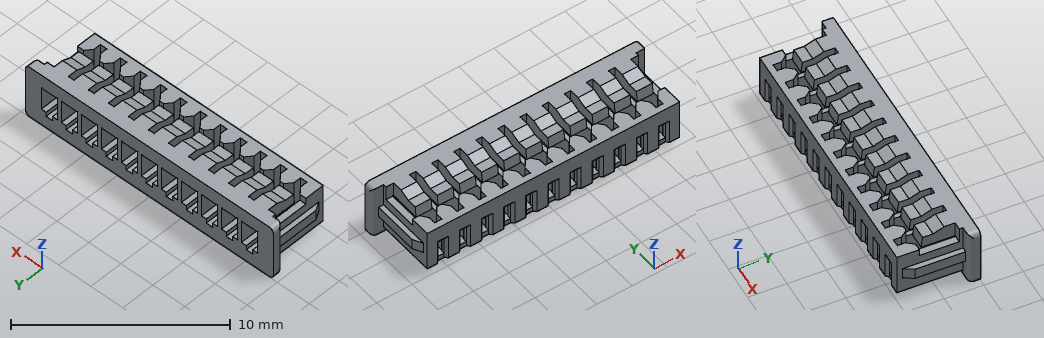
import cadquery as cq


length = 15.5
depth = 3.95
height = 3.2

contact_count = 11
row_span = 12.5
pitch = row_span / (contact_count - 1)
contact_places = [i * pitch - row_span / 2 for i in range(contact_count)]

flange_thickness = 0.6
flange_front = depth - flange_thickness
flange_round = 0.3

body_width = 14.26
body_bottom = 0.46
front_wall_top = 2.75

recess_floor = 2.37
recess_front = 1.15
recess_back = 3.16

block_width = 0.9
block_base_front = 1.44
block_top_front = 1.52
block_step_height = 2.98
block_slope_front = 2.05
block_slope_back = 2.6

rib_width = 0.25
cavity_width = pitch - rib_width
cavity_floor = 1.0
groove_width = 0.4
groove_front = 0.35
taper_front = 0.78

window_width = 0.35
window_top = 1.7
window_sill = 0.75
window_flare = 0.14

rail_width = 0.28
rail_bottom = 1.3
rail_top = 1.89
rail_front = 0.28
rail_bevel_back = 0.79

bump_width = 0.95
bump_bottom = 0.23
bump_front = 0.34
bump_tip_front = 0.95
bump_tip_back = 1.15
bump_back = 1.45
bump_place = row_span / 2 - pitch / 2


def block_between(x_range, y_range, z_range):
    """Rectangular block from its limits along each axis."""
    size = [high - low for low, high in (x_range, y_range, z_range)]
    corner = (x_range[0], y_range[0], z_range[0])
    return cq.Workplane("XY").box(*size, centered=False).translate(corner)


def side_profile(points, width, x_center):
    """Prism of the given (y, z) outline, centred on x_center along X."""
    prism = cq.Workplane("YZ").polyline(points).close().extrude(width / 2, both=True)
    return prism.translate((x_center, 0, 0))


def make_flange():
    """Plate with rounded corners and with its front edges rounded except along the top."""
    half = length / 2
    plate = block_between((-half, half), (flange_front, depth), (0, height))
    plate = plate.edges("|Y and <Z").fillet(flange_round)
    plate = plate.faces("<Y").edges("not >Z").fillet(flange_round)
    top_corners = block_between((-half, half), (flange_front, depth), (0, height))
    top_corners = top_corners.edges("|Y and >Z").fillet(flange_round)
    return plate.intersect(top_corners)


def make_body():
    """Body with a low front wall, a recessed top and a full-height strip at the flange."""
    outline = [
        (0, body_bottom),
        (flange_front, body_bottom),
        (flange_front, height),
        (recess_back, height),
        (recess_back, recess_floor),
        (recess_front, recess_floor),
        (recess_front, front_wall_top),
        (0, front_wall_top),
    ]
    return side_profile(outline, body_width, 0)


def make_latch_block(x):
    """Stepped block reaching forward from the flange, with its front leaning back."""
    outline = [
        (block_base_front, recess_floor),
        (block_top_front, block_step_height),
        (block_slope_front, block_step_height),
        (block_slope_back, height),
        (flange_front, height),
        (flange_front, recess_floor),
    ]
    return side_profile(outline, block_width, x)


def make_rail(side):
    """Guide rail on one end, bevelled at its front."""
    root = side * body_width / 2
    outer = root + side * rail_width
    outline = [(root, rail_front), (outer, rail_bevel_back), (outer, flange_front), (root, flange_front)]
    return (
        cq.Workplane("XY", origin=(0, 0, rail_bottom))
        .polyline(outline)
        .close()
        .extrude(rail_top - rail_bottom)
    )


def make_bump(x):
    """Locking bump with sloping front and back."""
    outline = [
        (bump_front, body_bottom),
        (bump_tip_front, bump_bottom),
        (bump_tip_back, bump_bottom),
        (bump_back, body_bottom),
    ]
    return side_profile(outline, bump_width, x)


def make_cavity(x):
    """Cavity open to the wire side, its tapered mouth in the top and the groove along its floor."""
    half = cavity_width / 2
    half_groove = groove_width / 2
    chamber = block_between((x - half, x + half), (recess_front, depth), (cavity_floor, recess_floor))
    taper_outline = [
        (x - half, recess_front),
        (x - half_groove, taper_front),
        (x + half_groove, taper_front),
        (x + half, recess_front),
    ]
    taper = (
        cq.Workplane("XY", origin=(0, 0, cavity_floor))
        .polyline(taper_outline)
        .close()
        .extrude(front_wall_top - cavity_floor)
    )
    groove_sides = (x - half_groove, x + half_groove)
    groove = block_between(groove_sides, (groove_front, depth), (window_sill, recess_floor))
    groove_mouth = block_between(groove_sides, (groove_front, recess_front), (window_sill, front_wall_top))
    return chamber.union(taper).union(groove).union(groove_mouth)


def make_window(x):
    """Slot through the front wall, flared at the sides and top and open below its sill."""
    half = window_width / 2
    slot = block_between((x - half, x + half), (0, taper_front), (window_sill, window_top))

    slot_height = window_top - body_bottom
    flare = (
        cq.Workplane("XZ")
        .center(x, body_bottom + (slot_height + window_flare) / 2)
        .rect(window_width + 2 * window_flare, slot_height + window_flare)
        .workplane(offset=-window_flare)
        .center(0, -window_flare / 2)
        .rect(window_width, slot_height)
        .loft(ruled=True)
    )
    return slot.union(flare)


result = make_body().union(make_flange())
for side in (-1, 1):
    result = result.union(make_rail(side))
    result = result.union(make_bump(side * bump_place))
for place in contact_places:
    result = result.union(make_latch_block(place))
for place in contact_places:
    result = result.cut(make_cavity(place)).cut(make_window(place))